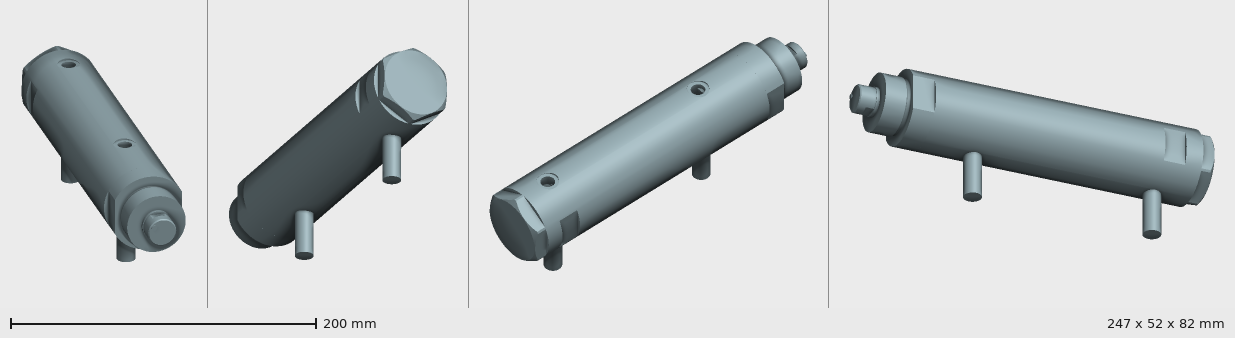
import cadquery as cq
import math


overall_length = 247.0
overall_height = 82.0

barrel_radius = 52.0 / 2
bore_radius = 18.3
barrel_start = 10.9
barrel_end = 199.3
flats_width = 46.0
flat_length = 15.0
barrel_flat_start = 21.2

port_positions = [30.6, 159.8]
port_radius = 9.6 / 2
port_seat_radius = 7.5
port_seat_depth = 1.2

stud_positions = [35.0, 162.5]
stud_radius = 6.2
stud_bottom = overall_height - barrel_radius

hex_length = 9.5
cap_face_radius = 22.7
cap_chamfer_length = 2.7
cap_spigot_radius = 20.0
cap_spigot_end = 23.5
cap_nose_radius = 17.3
cap_nose_end = 34.5

head_end = barrel_end + flat_length
gland_start = 162.5
gland_bush_radius = 21.5
gland_neck_radius = 18.8
gland_neck_end = 216.8
gland_collar_radius = 20.0
gland_collar_end = 232.5
gland_chamfer = 0.7
gland_neck_fillet = 0.7

piston_length = 19.8
rod_radius = 10.1
rod_shoulder = 234.5
rod_tip_radius = 9.6
rod_tip_end = 246.2
rod_tip_chamfer = 0.7
rod_flats_width = 16.3
rod_flats_length = 6.0

nub_radius = 1.7
nub_y = -5.7
nub_z = 4.2


def rod_along_x(radius, start, end):
    """Round bar on the cylinder axis."""
    return cq.Workplane("YZ", origin=(start, 0, 0)).circle(radius).extrude(end - start)


def outside_flats(axis, width, start, length):
    """The two blocks outside a pair of parallel flats, square to the "Y" or "Z" axis."""
    reach = 2 * barrel_radius
    section = (reach, width) if axis == "Z" else (width, reach)
    plane = cq.Workplane("YZ", origin=(start, 0, 0))
    return plane.rect(reach, reach).extrude(length).cut(plane.rect(*section).extrude(length))


def make_port(x):
    """Vertical port hole with its flat round seat."""
    seat_level = barrel_radius - port_seat_depth
    hole = cq.Workplane("XY", origin=(x, 0, 0)).circle(port_radius).extrude(barrel_radius)
    seat = cq.Workplane("XY", origin=(x, 0, seat_level)).circle(port_seat_radius).extrude(port_seat_depth)
    return hole.union(seat)


def make_stud(x):
    """Stud running from inside the barrel wall down to its free end."""
    wall_middle = (barrel_radius + bore_radius) / 2
    stud = cq.Workplane("XY", origin=(x, 0, -stud_bottom)).circle(stud_radius)
    return stud.extrude(stud_bottom - wall_middle)


def make_housing():
    """Barrel with studs, ports, a pair of wrench flats, and a bore widened at both ends."""
    housing = rod_along_x(barrel_radius, barrel_start, barrel_end)
    for x in stud_positions:
        housing = housing.union(make_stud(x))
    housing = housing.cut(outside_flats("Y", flats_width, barrel_flat_start, flat_length))
    for x in port_positions:
        housing = housing.cut(make_port(x))
    housing = housing.cut(rod_along_x(bore_radius, barrel_start, barrel_end))
    housing = housing.cut(rod_along_x(cap_spigot_radius, barrel_start, cap_spigot_end))
    return housing.cut(rod_along_x(gland_bush_radius, gland_start, barrel_end))


def make_cap():
    """Hexagon head with a thin flange, and a stepped spigot into the barrel."""
    across_corners = flats_width / math.cos(math.pi / 6)
    hexagon = cq.Workplane("YZ").polygon(6, across_corners).extrude(hex_length)
    hexagon = hexagon.rotate((0, 0, 0), (1, 0, 0), 90)
    envelope = (
        cq.Workplane("XY")
        .moveTo(0, 0)
        .lineTo(0, cap_face_radius)
        .lineTo(cap_chamfer_length, barrel_radius)
        .lineTo(hex_length, barrel_radius)
        .lineTo(hex_length, 0)
        .close()
        .revolve(360, (0, 0, 0), (1, 0, 0))
    )
    head = hexagon.intersect(envelope)
    flange = rod_along_x(barrel_radius, hex_length, barrel_start)
    spigot = rod_along_x(cap_spigot_radius, barrel_start, cap_spigot_end)
    nose = rod_along_x(cap_nose_radius, cap_spigot_end, cap_nose_end)
    return head.union(flange).union(spigot).union(nose)


def make_gland():
    """Guide bush in the barrel, a head with flats against the barrel, a neck, a collar and the rod hole."""
    bush = rod_along_x(gland_bush_radius, gland_start, barrel_end)
    head = rod_along_x(barrel_radius, barrel_end, head_end)
    head = head.cut(outside_flats("Y", flats_width, barrel_end, flat_length))
    neck = rod_along_x(gland_neck_radius, head_end, gland_neck_end)
    body = bush.union(head).union(neck)
    root = cq.selectors.BoxSelector(
        (head_end - gland_neck_fillet, -gland_collar_radius, -gland_collar_radius),
        (head_end + gland_neck_fillet, gland_collar_radius, gland_collar_radius),
        boundingbox=True,
    )
    body = body.edges(root).fillet(gland_neck_fillet)
    collar = rod_along_x(gland_collar_radius, gland_neck_end, gland_collar_end)
    collar = collar.faces("<X").chamfer(gland_chamfer)
    rod_hole = rod_along_x(rod_radius, gland_start, gland_collar_end)
    return body.union(collar).cut(rod_hole)


def make_piston_rod():
    """Piston against the cap nose, the rod, and a tip with two wrench flats and a nub."""
    piston = rod_along_x(bore_radius, cap_nose_end, cap_nose_end + piston_length)
    shaft = rod_along_x(rod_radius, cap_nose_end, rod_shoulder)
    tip = rod_along_x(rod_tip_radius, rod_shoulder, rod_tip_end)
    tip = tip.faces(">X").chamfer(rod_tip_chamfer)
    tip = tip.cut(outside_flats("Z", rod_flats_width, rod_shoulder, rod_flats_length))
    nub = cq.Workplane("YZ", origin=(rod_tip_end, nub_y, nub_z)).circle(nub_radius)
    nub = nub.extrude(overall_length - rod_tip_end)
    return piston.union(shaft).union(tip).union(nub)


housing = make_housing()
cap = make_cap()
gland = make_gland()
piston_rod = make_piston_rod()

bodies = [housing, cap, gland, piston_rod]
result = cq.Compound.makeCompound([body.solids().val() for body in bodies])